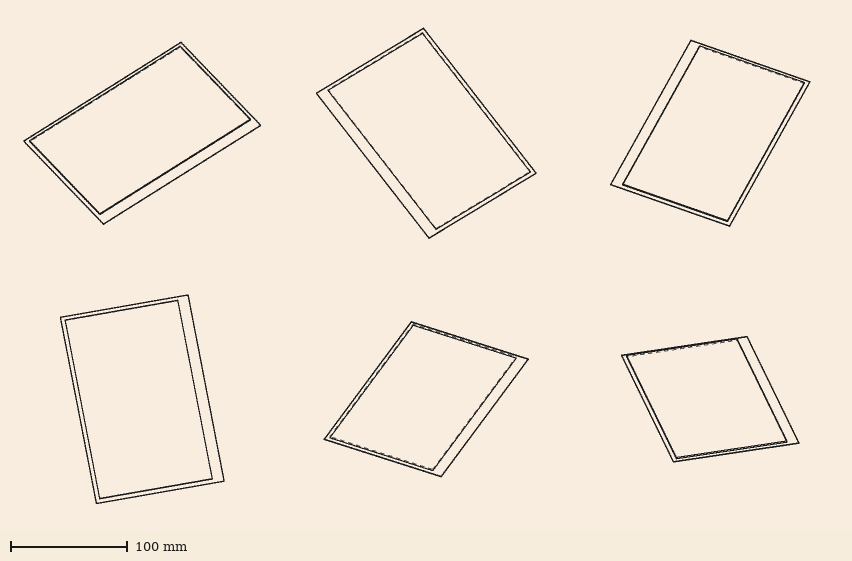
import cadquery as cq

base_width = 111.1
base_length = 170.2
base_thickness = 0.5

total_height = 1.9
edge_margin = 3.5
wide_margin = 9.7
panel_width = base_width - edge_margin - wide_margin
panel_length = base_length - 2 * edge_margin
panel_thickness = total_height - base_thickness


def make_slab(width, length, thickness, corner):
    """Rectangular slab whose lowest X, Y, Z corner sits at the given point."""
    return cq.Workplane("XY").box(width, length, thickness, centered=False).translate(corner)


base_sheet = make_slab(base_width, base_length, base_thickness, (0, 0, 0))
panel_corner = (edge_margin, edge_margin, base_thickness)
panel = make_slab(panel_width, panel_length, panel_thickness, panel_corner)

result = cq.Compound.makeCompound([base_sheet.val(), panel.val()])